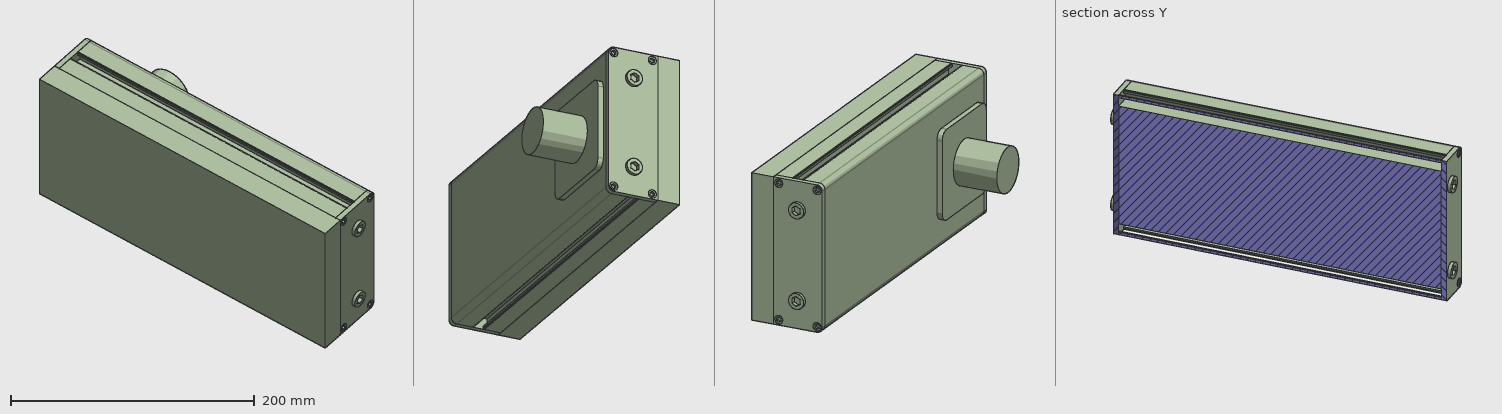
import cadquery as cq

TOTAL_LENGTH = 304.0
WIDTH = 130.0
PLUG_PROTRUSION = 3.0
BODY_LENGTH = TOTAL_LENGTH - 2 * PLUG_PROTRUSION

PAD_DEPTH = 20.0
HOUSING_DEPTH = 45.0
FLANGE_DEPTH = 5.0
PIPE_LENGTH = 40.0
HOUSING_BACK = PAD_DEPTH + HOUSING_DEPTH
HOUSING_MID = PAD_DEPTH + HOUSING_DEPTH / 2

CAP_THICKNESS = 5.0
HOUSING_LENGTH = BODY_LENGTH - 2 * CAP_THICKNESS
CORNER_RADIUS = 5.0

SLOT_FROM_PAD = 20.0
SLOT_CENTER = PAD_DEPTH + SLOT_FROM_PAD
SLOT_MOUTH_WIDTH = 10.0
SLOT_MOUTH_DEPTH = 1.0
SLOT_THROAT_WIDTH = 8.2
SLOT_LIP_DEPTH = 2.7
SLOT_CHAMBER_WIDTH = 15.0
SLOT_DEPTH = 10.0

PLUG_DIAMETER = 14.0
PLUG_SPACING = 80.0
PLUG_SOCKET_FLATS = 7.3
PLUG_SOCKET_DEPTH = 4.0

SCREW_INSET = 5.0
SCREW_RECESS_DIAMETER = 7.3
SCREW_RECESS_DEPTH = 0.3
SCREW_SOCKET_FLATS = 4.0
SCREW_SOCKET_DEPTH = 2.7

PORT_FROM_END = 50.0
PORT_X = PORT_FROM_END - BODY_LENGTH / 2
FLANGE_SIDE = 80.0
FLANGE_RADIUS = 8.0
PIPE_DIAMETER = 40.0

HEX_CORNERS_PER_FLATS = 2 / 3**0.5


def rounded_section(x_start, length):
    """Prism of the shared housing cross-section, extruded toward +X."""
    return (
        cq.Workplane("YZ", origin=(x_start, HOUSING_MID, 0))
        .rect(HOUSING_DEPTH, WIDTH)
        .extrude(length)
        .edges("|X and >Y")
        .fillet(CORNER_RADIUS)
    )


def slot_step(side, width, depth):
    """Cutter for a full-length rectangular groove in the +Z (1) or -Z (-1) side."""
    return cq.Workplane("XY").box(HOUSING_LENGTH, width, 2 * depth).translate(
        (0, SLOT_CENTER, side * WIDTH / 2)
    )


def slot_chamber(side):
    """Cutter for the wide inner part of the slot, undercut behind the lips."""
    height = SLOT_DEPTH - SLOT_LIP_DEPTH
    center_z = side * (WIDTH / 2 - SLOT_LIP_DEPTH - height / 2)
    chamber = cq.Workplane("XY").box(HOUSING_LENGTH, SLOT_CHAMBER_WIDTH, height)
    return chamber.translate((0, SLOT_CENTER, center_z))


def make_housing():
    housing = rounded_section(-HOUSING_LENGTH / 2, HOUSING_LENGTH)
    for side in (1, -1):
        housing = housing.cut(slot_step(side, SLOT_MOUTH_WIDTH, SLOT_MOUTH_DEPTH))
        housing = housing.cut(slot_step(side, SLOT_THROAT_WIDTH, SLOT_DEPTH))
        housing = housing.cut(slot_chamber(side))
    return housing


def make_pad():
    return cq.Workplane("XY").box(BODY_LENGTH, PAD_DEPTH, WIDTH).translate((0, PAD_DEPTH / 2, 0))


def hexagon_socket(plane, flats, depth):
    """Hexagonal prism with two corners in line along Z, sunk below the plane at each point."""
    return plane.polygon(6, flats * HEX_CORNERS_PER_FLATS).extrude(-depth)


def make_left_cap():
    """End cap on the -X end, with its plugs and corner screws."""
    outer_x = -BODY_LENGTH / 2
    cap = rounded_section(outer_x, CAP_THICKNESS)

    outer_plane = cq.Plane(origin=(outer_x, HOUSING_MID, 0), xDir=(0, 0, 1), normal=(-1, 0, 0))
    outer_face = cq.Workplane(outer_plane)
    plug_face = outer_face.workplane(offset=PLUG_PROTRUSION).rarray(PLUG_SPACING, 3, 2, 1)
    cap = cap.union(plug_face.circle(PLUG_DIAMETER / 2).extrude(-PLUG_PROTRUSION))
    cap = cap.cut(hexagon_socket(plug_face, PLUG_SOCKET_FLATS, PLUG_SOCKET_DEPTH))

    screw_spacing_z = WIDTH - 2 * SCREW_INSET
    screw_spacing_y = HOUSING_DEPTH - 2 * SCREW_INSET
    screws = outer_face.rarray(screw_spacing_z, screw_spacing_y, 2, 2)
    cap = cap.cut(screws.circle(SCREW_RECESS_DIAMETER / 2).extrude(-SCREW_RECESS_DEPTH))
    return cap.cut(hexagon_socket(screws, SCREW_SOCKET_FLATS, SCREW_SOCKET_DEPTH))


def make_end_caps():
    left_cap = make_left_cap()
    return [left_cap, left_cap.mirror("YZ")]


def make_suction_port():
    """Square rounded flange carrying a round pipe that points toward +Y."""
    flange = (
        cq.Workplane("XY")
        .box(FLANGE_SIDE, FLANGE_DEPTH, FLANGE_SIDE)
        .edges("|Y")
        .fillet(FLANGE_RADIUS)
        .translate((PORT_X, HOUSING_BACK + FLANGE_DEPTH / 2, 0))
    )
    pipe_base = cq.Workplane("XZ", origin=(PORT_X, HOUSING_BACK + FLANGE_DEPTH, 0))
    return flange.union(pipe_base.circle(PIPE_DIAMETER / 2).extrude(-PIPE_LENGTH))


housing = make_housing()
pad = make_pad()
end_caps = make_end_caps()
suction_port = make_suction_port()

result = cq.Compound.makeCompound(
    [housing.val(), pad.val(), *[cap.val() for cap in end_caps], suction_port.val()]
)